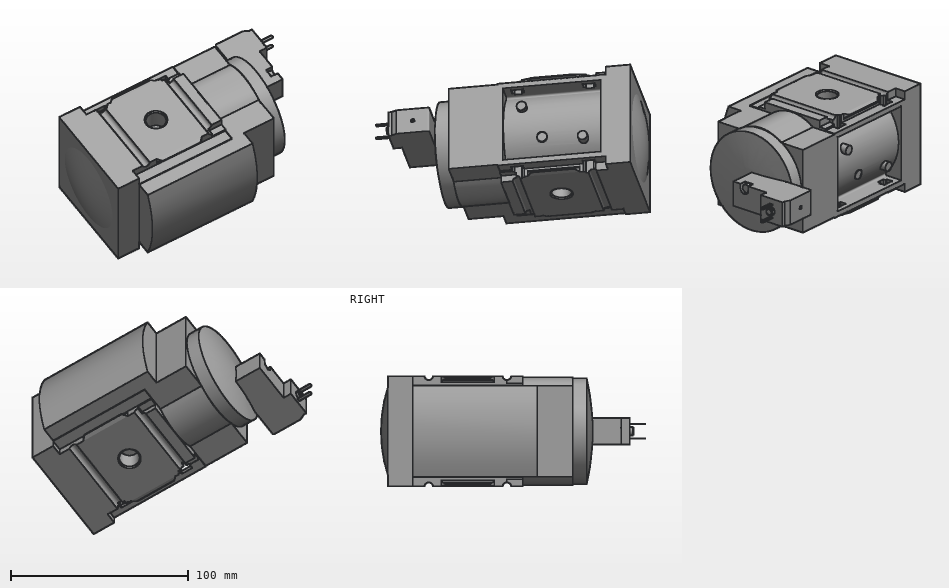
import cadquery as cq

BLOCK_SIZE = 62.0
HALF_BLOCK = BLOCK_SIZE / 2
FRONT_Y = -45.0
CORE_HALF_LENGTH = 31.0
CORE_HALF_HEIGHT = 26.0
REAR_HALF_HEIGHT = 25.5
REAR_END_Y = 59.0
REAR_CROWN_HALF_WIDTH = 15.1
REAR_CROWN_HEIGHT = 30.5

COVER_BACK_Y = 39.0
COVER_CORNER_X = 40.0
COVER_CREST_X = 45.0

CAP_DIAMETER = 50.0
CAP_RISE = 4.0
KNOB_DIAMETER = 60.0
KNOB_RIM_Y = 67.0
KNOB_PEAK_Y = 70.4

PLATE_HALF_WIDTH = 24.3
NOTCH_HALF_GAP = 20.0
NOTCH_FLOOR_Z = 27.0
GROOVE_Y = 22.0
GROOVE_DIAMETER = 4.8
GROOVE_DEPTH = 2.1
PORT_DIAMETER = 11.45
PORT_MOUTH_DIAMETER = 13.0
PORT_DEPTH = 12.0

TONGUE_HALF_LENGTH = 15.0
TONGUE_TIP_X = 26.8
TONGUE_TIP_TOP_Z = 30.2
TONGUE_TIP_BOTTOM_Z = 29.6
TONGUE_BEND_X = 25.1
TONGUE_BEND_Z = 28.7
TONGUE_ROOT_Z = 27.6
TONGUE_END_CUT = TONGUE_TIP_X - PLATE_HALF_WIDTH

POCKET_HALF_LENGTH = 28.0
POCKET_HALF_HEIGHT = 22.8
POCKET_FLOOR_RADIUS = 29.0
POCKET_FILLET = 1.0
PIN_DIAMETER = 5.5
PIN_END_X = -30.3
PIN_ROOT_X = -20.0
PIN_PLACES = [(17.5, 11.0), (-17.5, -11.0)]
SPOT_DIAMETER = 5.8
SPOT_FACE_X = -27.8
SPOT_Y = 6.1
SPOT_Z = -8.5

SLOT_Y = 20.5
SLOT_LENGTH = 7.0
SLOT_OUTER_X = -27.6
SLOT_INNER_X = -23.8
SLOT_KEY_X = -22.3
SLOT_KEY_LENGTH = 4.4

PLUG_HALF_HEIGHT = 7.5
PLUG_LEFT_X = -44.45
PLUG_SHOULDER_X = -42.8
PLUG_STEP_X = -27.0
PLUG_RIGHT_X = -2.8
PLUG_BOTTOM_Y = 67.7
PLUG_STEP_Y = 86.4
PLUG_BEVEL_Y = 89.4
PLUG_TOP_Y = 91.3
PLUG_CORNER_RADIUS = 0.9
SIDE_HOLE_DIAMETER = 2.0
SIDE_HOLE_DEPTH = 2.0
SIDE_HOLE_Y = 77.1
SCREW_X = -10.8
SCREW_Z = 4.75
SCREW_WELL_DIAMETER = 5.5
SCREW_WELL_FLOOR_Y = 82.2
SCREW_HEAD_DIAMETER = 5.0
SCREW_HEAD_TOP_Y = 84.8

CONTACT_X = -34.6
CONTACT_WIDTH = 2.0
CONTACT_THICKNESS = 0.4
CONTACT_Z = 4.05
CONTACT_END_Y = 99.9
CONTACT_TIP_CHAMFER = 0.5
STUD_STEPS = [(5.0, 92.8), (3.8, 93.6)]


def block(x_range, y_range, z_range):
    """Axis-aligned block between the given limits."""
    size = [high - low for low, high in (x_range, y_range, z_range)]
    corner = (x_range[0], y_range[0], z_range[0])
    return cq.Workplane("XY").box(*size, centered=False).translate(corner)


def rod_x(diameter, y, z, x_start, x_end):
    """Cylinder parallel to X."""
    return cq.Workplane("YZ", origin=(x_start, y, z)).circle(diameter / 2).extrude(x_end - x_start)


def rod_y(diameter, x, z, y_start, y_end):
    """Cylinder parallel to Y."""
    return cq.Workplane("XZ", origin=(x, y_start, z)).circle(diameter / 2).extrude(y_start - y_end)


def with_mirror(shape, plane):
    """The shape joined with its mirror image."""
    return shape.union(shape.mirror(plane))


def symmetric(half):
    return (-half, half)


def make_housing():
    side = symmetric(HALF_BLOCK)
    end_block = block(side, (FRONT_Y, -CORE_HALF_LENGTH), side)
    core = block(side, symmetric(CORE_HALF_LENGTH), symmetric(CORE_HALF_HEIGHT))
    rear_length = REAR_END_Y - CORE_HALF_LENGTH
    rear = (
        cq.Workplane("XZ", origin=(0, REAR_END_Y, 0))
        .moveTo(-HALF_BLOCK, -REAR_HALF_HEIGHT)
        .lineTo(-REAR_CROWN_HALF_WIDTH, -REAR_HALF_HEIGHT)
        .threePointArc((0, -REAR_CROWN_HEIGHT), (REAR_CROWN_HALF_WIDTH, -REAR_HALF_HEIGHT))
        .lineTo(HALF_BLOCK, -REAR_HALF_HEIGHT)
        .lineTo(HALF_BLOCK, REAR_HALF_HEIGHT)
        .lineTo(REAR_CROWN_HALF_WIDTH, REAR_HALF_HEIGHT)
        .threePointArc((0, REAR_CROWN_HEIGHT), (-REAR_CROWN_HALF_WIDTH, REAR_HALF_HEIGHT))
        .lineTo(-HALF_BLOCK, REAR_HALF_HEIGHT)
        .close()
        .extrude(rear_length)
    )
    return end_block.union(core).union(rear)


def make_side_cover():
    return (
        cq.Workplane("XZ", origin=(0, COVER_BACK_Y, 0))
        .moveTo(0, -REAR_HALF_HEIGHT)
        .lineTo(COVER_CORNER_X, -REAR_HALF_HEIGHT)
        .threePointArc((COVER_CREST_X, 0), (COVER_CORNER_X, REAR_HALF_HEIGHT))
        .lineTo(0, REAR_HALF_HEIGHT)
        .close()
        .extrude(COVER_BACK_Y + CORE_HALF_LENGTH)
    )


def make_dome(diameter, base_y, rim_y, peak_y):
    """Round body about the Y axis, from a flat base to a rim and a spherical crown."""
    radius = diameter / 2
    rise = peak_y - rim_y
    sphere_radius = (radius**2 + rise**2) / (2 * abs(rise))
    toward_peak = 1 if rise > 0 else -1
    center_y = peak_y - toward_peak * sphere_radius
    mid_radius = radius / 2
    mid_y = center_y + toward_peak * (sphere_radius**2 - mid_radius**2) ** 0.5
    return (
        cq.Workplane("XY")
        .moveTo(0, base_y)
        .lineTo(radius, base_y)
        .lineTo(radius, rim_y)
        .threePointArc((mid_radius, mid_y), (0, peak_y))
        .close()
        .revolve(360, (0, 0, 0), (0, 1, 0))
    )


def make_tongue():
    """Tongue on the +X side of the top plate, its ends cut at 45 degrees."""
    profile = (
        cq.Workplane("XZ", origin=(0, TONGUE_HALF_LENGTH, 0))
        .polyline([
            (NOTCH_HALF_GAP, HALF_BLOCK),
            (PLATE_HALF_WIDTH, HALF_BLOCK),
            (TONGUE_TIP_X, TONGUE_TIP_TOP_Z),
            (TONGUE_TIP_X, TONGUE_TIP_BOTTOM_Z),
            (TONGUE_BEND_X, TONGUE_BEND_Z),
            (PLATE_HALF_WIDTH, TONGUE_ROOT_Z),
            (NOTCH_HALF_GAP, TONGUE_ROOT_Z),
        ])
        .close()
        .extrude(2 * TONGUE_HALF_LENGTH)
    )
    tip_half_length = TONGUE_HALF_LENGTH - TONGUE_END_CUT
    outline = (
        cq.Workplane("XY")
        .polyline([
            (NOTCH_HALF_GAP, -TONGUE_HALF_LENGTH),
            (PLATE_HALF_WIDTH, -TONGUE_HALF_LENGTH),
            (TONGUE_TIP_X, -tip_half_length),
            (TONGUE_TIP_X, tip_half_length),
            (PLATE_HALF_WIDTH, TONGUE_HALF_LENGTH),
            (NOTCH_HALF_GAP, TONGUE_HALF_LENGTH),
        ])
        .close()
        .extrude(HALF_BLOCK)
    )
    return profile.intersect(outline)


def make_port_plate():
    """Top port plate with its two grooves, rear corner notches and tongues."""
    width = symmetric(PLATE_HALF_WIDTH)
    plate = block(width, symmetric(CORE_HALF_LENGTH), (REAR_HALF_HEIGHT, HALF_BLOCK))
    notch = block(
        (NOTCH_HALF_GAP, PLATE_HALF_WIDTH),
        (GROOVE_Y, CORE_HALF_LENGTH),
        (NOTCH_FLOOR_Z, HALF_BLOCK),
    )
    plate = plate.cut(with_mirror(notch, "YZ"))
    groove_z = HALF_BLOCK - GROOVE_DEPTH + GROOVE_DIAMETER / 2
    for groove_y in (-GROOVE_Y, GROOVE_Y):
        plate = plate.cut(rod_x(GROOVE_DIAMETER, groove_y, groove_z, *width))
    return plate.union(with_mirror(make_tongue(), "YZ"))


def make_port():
    """Blind port hole with a 45 degree countersink, opening at the top."""
    hole = cq.Workplane("XY", origin=(0, 0, HALF_BLOCK)).circle(PORT_DIAMETER / 2).extrude(-PORT_DEPTH)
    mouth_depth = (PORT_MOUTH_DIAMETER - PORT_DIAMETER) / 2
    mouth = (
        cq.Workplane("XY", origin=(0, 0, HALF_BLOCK))
        .circle(PORT_MOUTH_DIAMETER / 2)
        .extrude(-mouth_depth, taper=45)
    )
    return hole.union(mouth)


def make_pocket():
    length = symmetric(POCKET_HALF_LENGTH)
    void = block((-HALF_BLOCK, 0), length, symmetric(POCKET_HALF_HEIGHT))
    void = void.cut(rod_y(2 * POCKET_FLOOR_RADIUS, 0, 0, *length))
    return void.edges("|Y").edges(">X").fillet(POCKET_FILLET)


def make_clip_slots():
    """Keyed slots from the top face down into the pocket."""
    depth = (POCKET_HALF_HEIGHT - POCKET_FILLET, HALF_BLOCK)
    half_length = SLOT_LENGTH / 2
    half_key = SLOT_KEY_LENGTH / 2
    slot = block((SLOT_OUTER_X, SLOT_INNER_X), (SLOT_Y - half_length, SLOT_Y + half_length), depth)
    key = block((SLOT_INNER_X, SLOT_KEY_X), (SLOT_Y - half_key, SLOT_Y + half_key), depth)
    return with_mirror(slot.union(key), "XZ")


def add_pocket_pins(body):
    for pin_y, pin_z in PIN_PLACES:
        body = body.union(rod_x(PIN_DIAMETER, pin_y, pin_z, PIN_ROOT_X, PIN_END_X))
    body = body.cut(rod_x(SPOT_DIAMETER, SPOT_Y, SPOT_Z, SPOT_FACE_X, -HALF_BLOCK))
    return body.union(rod_x(SPOT_DIAMETER, SPOT_Y, SPOT_Z, PIN_ROOT_X, SPOT_FACE_X))


def add_screw(plug):
    """Screw head in a U-shaped well that opens at the plug's step and top face."""
    well_radius = SCREW_WELL_DIAMETER / 2
    well = rod_y(SCREW_WELL_DIAMETER, SCREW_X, SCREW_Z, SCREW_WELL_FLOOR_Y, PLUG_STEP_Y)
    opening = block(
        (SCREW_X - well_radius, SCREW_X + well_radius),
        (SCREW_WELL_FLOOR_Y, PLUG_STEP_Y),
        (SCREW_Z, PLUG_HALF_HEIGHT),
    )
    head = rod_y(SCREW_HEAD_DIAMETER, SCREW_X, SCREW_Z, SCREW_WELL_FLOOR_Y, SCREW_HEAD_TOP_Y)
    return plug.cut(well.union(opening)).union(head)


def make_connector():
    plug = (
        cq.Workplane("XY", origin=(0, 0, -PLUG_HALF_HEIGHT))
        .polyline([
            (PLUG_LEFT_X, PLUG_BOTTOM_Y),
            (PLUG_RIGHT_X, PLUG_BOTTOM_Y),
            (PLUG_RIGHT_X, PLUG_STEP_Y),
            (PLUG_STEP_X, PLUG_STEP_Y),
            (PLUG_STEP_X, PLUG_TOP_Y),
            (PLUG_SHOULDER_X, PLUG_TOP_Y),
            (PLUG_SHOULDER_X, PLUG_BEVEL_Y),
            (PLUG_LEFT_X, PLUG_STEP_Y),
        ])
        .close()
        .extrude(2 * PLUG_HALF_HEIGHT)
    )
    plug = plug.edges("|Z").edges("<Y").edges("<X").fillet(PLUG_CORNER_RADIUS)
    plug = plug.cut(rod_x(SIDE_HOLE_DIAMETER, SIDE_HOLE_Y, 0, PLUG_LEFT_X, PLUG_LEFT_X + SIDE_HOLE_DEPTH))
    plug = add_screw(plug)
    for stud_diameter, stud_end_y in STUD_STEPS:
        plug = plug.union(rod_y(stud_diameter, CONTACT_X, 0, PLUG_TOP_Y, stud_end_y))
    contact = block(
        (CONTACT_X - CONTACT_WIDTH / 2, CONTACT_X + CONTACT_WIDTH / 2),
        (PLUG_TOP_Y, CONTACT_END_Y),
        (CONTACT_Z - CONTACT_THICKNESS / 2, CONTACT_Z + CONTACT_THICKNESS / 2),
    )
    contact = contact.edges("|Z and >Y").chamfer(CONTACT_TIP_CHAMFER)
    return plug.union(with_mirror(contact, "XY"))


body = make_housing().union(make_side_cover())
body = body.union(make_dome(CAP_DIAMETER, -CORE_HALF_LENGTH, FRONT_Y, FRONT_Y - CAP_RISE))
body = body.union(make_dome(KNOB_DIAMETER, REAR_END_Y, KNOB_RIM_Y, KNOB_PEAK_Y))
body = body.union(with_mirror(make_port_plate(), "XY"))
body = body.cut(with_mirror(make_port(), "XY"))
body = body.cut(make_pocket())
body = body.cut(with_mirror(make_clip_slots(), "XY"))
body = add_pocket_pins(body)
result = body.union(make_connector())